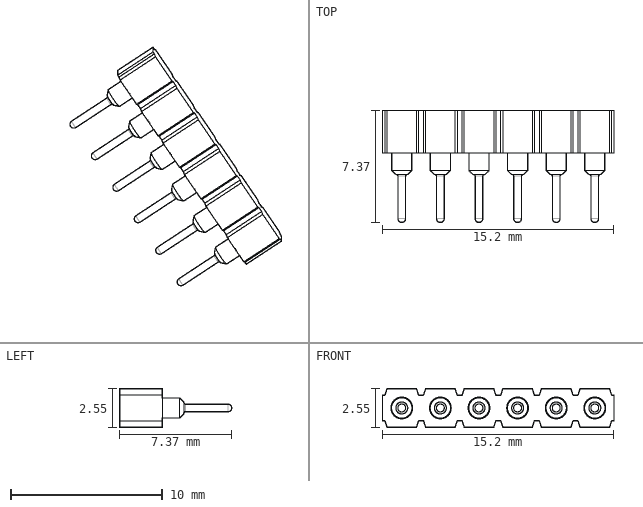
import cadquery as cq
import math

PIN_COUNT = 6
LENGTH = 15.24
PITCH = LENGTH / PIN_COUNT
HOUSING_DEPTH = 2.8
HOUSING_HEIGHT = 2.55
WEB_HEIGHT = 1.69
TOOTH_TOP_WIDTH = 1.95
TOOTH_ROOT_WIDTH = 2.23

SOCKET_RADIUS = 0.72
SOCKET_DEPTH = HOUSING_DEPTH / 2

PIN_PROJECTION = 4.57
SHOULDER_RADIUS = 0.67
SHOULDER_PROJECTION = 1.15
TAPER_LENGTH = 0.27
TAPER_END_RADIUS = 0.4
TAIL_RADIUS = 0.26
TAIL_FILLET = 0.1

PIN_POSITIONS = [(i - (PIN_COUNT - 1) / 2) * PITCH for i in range(PIN_COUNT)]

ARC_MID = math.sqrt(0.5)


def make_tooth(x):
    """Full-height block at x whose flanks flare out from top and bottom to the web."""
    half_top = TOOTH_TOP_WIDTH / 2
    half_root = TOOTH_ROOT_WIDTH / 2
    half_height = HOUSING_HEIGHT / 2
    half_web = WEB_HEIGHT / 2
    outline = [
        (x - half_top, half_height),
        (x + half_top, half_height),
        (x + half_root, half_web),
        (x + half_root, -half_web),
        (x + half_top, -half_height),
        (x - half_top, -half_height),
        (x - half_root, -half_web),
        (x - half_root, half_web),
    ]
    return cq.Workplane("XZ").polyline(outline).close().extrude(-HOUSING_DEPTH)


def make_housing():
    """Web with its teeth, and a row of blind sockets in the front face."""
    body = cq.Workplane("XZ").rect(LENGTH, WEB_HEIGHT).extrude(-HOUSING_DEPTH)
    for x in PIN_POSITIONS:
        body = body.union(make_tooth(x))
    sockets = (
        cq.Workplane("XZ")
        .pushPoints([(x, 0) for x in PIN_POSITIONS])
        .circle(SOCKET_RADIUS)
        .extrude(-SOCKET_DEPTH)
    )
    return body.cut(sockets).solids()


def make_pin(x):
    """Turned pin at x, seated on the floor of its socket."""
    taper_start = -SHOULDER_PROJECTION
    ledge = taper_start - TAPER_LENGTH
    fillet_end = ledge - TAIL_FILLET
    fillet_bulge = TAIL_FILLET * (1 - ARC_MID)
    tip = -PIN_PROJECTION
    dome_start = tip + TAIL_RADIUS
    dome_mid = TAIL_RADIUS * ARC_MID
    half_profile = (
        cq.Workplane("XY", origin=(x, 0, 0))
        .moveTo(0, SOCKET_DEPTH)
        .lineTo(SHOULDER_RADIUS, SOCKET_DEPTH)
        .lineTo(SHOULDER_RADIUS, taper_start)
        .lineTo(TAPER_END_RADIUS, ledge)
        .lineTo(TAIL_RADIUS + TAIL_FILLET, ledge)
        .threePointArc((TAIL_RADIUS + fillet_bulge, ledge - fillet_bulge), (TAIL_RADIUS, fillet_end))
        .lineTo(TAIL_RADIUS, dome_start)
        .threePointArc((dome_mid, dome_start - dome_mid), (0, tip))
        .close()
    )
    return half_profile.revolve(360, (0, 0, 0), (0, 1, 0))


housing = make_housing()
pins = [make_pin(x) for x in PIN_POSITIONS]

result = cq.Compound.makeCompound([housing.val(), *[pin.val() for pin in pins]])